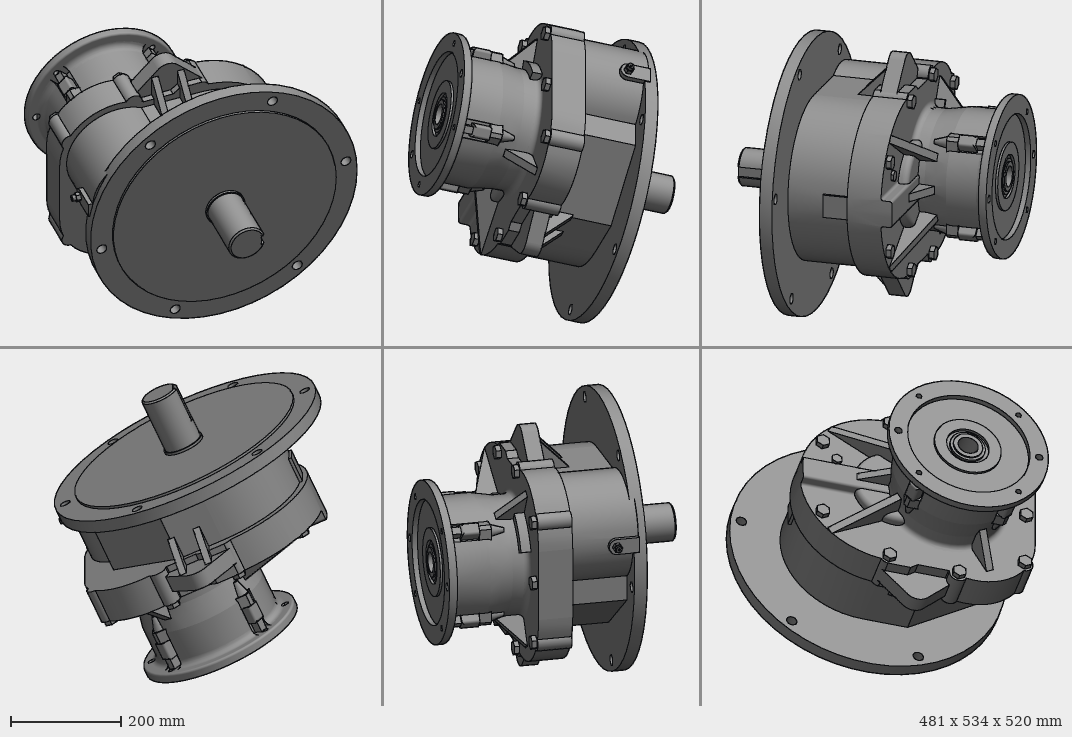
import cadquery as cq
import math


INPUT_FLANGE_BACK = 16.0
PAD_START = 70.5
CONE_START = 86.0
CONE_END = 129.0
COVER_FRONT = 161.5
COVER_BACK = 225.5
FLANGE_FRONT = 342.5
RIM_RECESS_BACK = 352.0
FLANGE_BACK = 366.5
SPIGOT_BACK = 371.0
COLLAR_BACK = 376.0
SHAFT_END = 481.0

FLANGE_RADIUS = 520.0 / 2
SPIGOT_RADIUS = 435.0 / 2
FLANGE_HOLE_DIAMETER = 19.0
FLANGE_HOLE_CIRCLE_RADIUS = 240.0
FLANGE_HOLE_START_ANGLE = 53.3
FLANGE_HOLE_COUNT = 6

MAIN_LOBE_Y = 11.0
MAIN_LOBE_RADIUS = 154.5
SIDE_LOBE_Y = -150.5
SIDE_LOBE_Z = 65.5
SIDE_LOBE_RADIUS = 100.0
SIDE_WALL_Y = -206.0
SIDE_WALL_BOTTOM = -64.0
BOTTOM_EDGE_Y = -75.0
WALL_PAD_Y = 170.0
WALL_PAD_END = 274.5
WALL_PAD_WIDTH = 42.5

COVER_MAIN_Y = 10.0
COVER_MAIN_RADIUS = 170.0
COVER_SIDE_RADIUS = 113.0
BOSS_RADIUS = 16.5
CORNER_BOLTS = [(12.0, 161.0), (-119.0, 170.5), (-243.0, 115.5)]
FACE_BOLT = (138.0, 85.0)
SIDE_BOLT = (-245.0, 0)
BOLT_DIAMETER = 26.0
BOLT_HEIGHT = 9.5
PLUG = (110.5, 51.0)
PLUG_DIAMETER = 20.5
PLUG_HEIGHT = 5.5
SHOULDER_OUTLINE = [(13.5, 0), (13.5, 177.5), (-29.5, 177.5), (-42.5, 167.0), (-107, 167.0), (-149.5, 107), (-149.5, 0)]

EAR_FRONT = 182.0
EAR_BACK = 213.0
EAR_Y = -48.0
EAR_TOP = 232.0
EAR_TIP_RADIUS = 26.0
EAR_RIB_OFFSET = 25.0
EAR_RIB_THICKNESS = 13.0
EAR_RIB_LENGTH = 54.0

INPUT_Y = -93.0
INPUT_FLANGE_RADIUS = 300.0 / 2
BODY_RADIUS = 119.5
BODY_FILLET = 12.5
INPUT_FLANGE_EDGE_FILLET = 4.5
BELL_RADIUS = 111.5
BELL_FOOT_RADIUS = 122.5
INPUT_HOLE_CIRCLE_RADIUS = 132.5
SMALL_HOLE_DIAMETER = 10.0
LARGE_HOLE_DIAMETER = 14.0
INPUT_RECESS_DIAMETER = 230.0
INPUT_RECESS_DEPTH = 10.0
INPUT_BOSS_DIAMETER = 125.5
INPUT_BOSS_HEIGHT = 4.5
SEAL_DIAMETER = 80.0
SEAL_DEPTH = 5.5
HUB_DIAMETER = 66.0
HUB_HEIGHT = 4.5
HUB_TIP_DIAMETER = 55.0
HUB_TIP_HEIGHT = 2.5
BORE_DIAMETER = 38.0
BORE_DEPTH = 80.0
PAD_END = 93.0
PAD_INNER = 65.5
PAD_OUTER = 96.0
PAD_CHAMFER = 6.5
BAR_START = 37.0
BAR_WIDTH = 23.5
BAR_TOP_RADIUS = 132.5
BAR_FILLET = 5.0
NECK_WIDTH = 14.0
NECK_TOP_RADIUS = 129.0
POCKET_WIDTH = 35.0
POCKET_FLOOR_RADIUS = 111.0
TAIL_END = 119.5
TAIL_RADIUS = 13.0
TAIL_TIP_RADIUS = 4.5
RIM_FRONT = 142.5
RIM_RADIUS = 127.0
OUTPUT_BOSS_RADIUS = 81.0
OUTPUT_BOSS_FILLET = 10.5
RIM_ANGLES = (22, 66)

WEB_START = 108.0
WEB_THICKNESS = 15.0
WEB_ROOT_RADIUS = 113.0
SHORT_WEB_REACH = 171.0
LONG_WEB_REACH = 249.5
ARM_FRONT = 140.0
ARM_HALF_WIDTH = 20.0
ARM_BASE_HALF_WIDTH = 30.0
ARM_WEB_REACH = 171.0

FITTING_X = 310.0
FITTING_Z = 60.0
FITTING_LUG_RADIUS = 14.5
FITTING_LUG_Y = -258.5
FITTING_HEX_DIAMETER = 17.0
FITTING_HEX_Y = -267.0
FITTING_TIP_DIAMETER = 11.0
FITTING_TIP_Y = -274.0
FITTING_HOLE_DIAMETER = 4.0
FITTING_HOLE_DEPTH = 5.5
RIM_RECESS_TOP = 133.5

SHAFT_DIAMETER = 70.0
COLLAR_DIAMETER = 75.0
SHAFT_CHAMFER = 3.0
KEYWAY_START = 411.0
KEYWAY_WIDTH = 20.0
KEYWAY_DEPTH = 7.5


def plane_at(x):
    """Sketch plane across the axes at x: local coordinates are (y, z), extrusion goes toward +X."""
    return cq.Workplane("YZ", origin=(x, 0, 0))


def cylinder(x_start, x_end, radius, y=0.0, z=0.0):
    return plane_at(x_start).center(y, z).circle(radius).extrude(x_end - x_start)


def polygon_slab(x_start, x_end, points):
    return plane_at(x_start).polyline(points).close().extrude(x_end - x_start)


def block(x_range, y_range, z_range):
    size = [high - low for low, high in (x_range, y_range, z_range)]
    corner = (x_range[0], y_range[0], z_range[0])
    return cq.Workplane("XY").box(*size, centered=False).translate(corner)


def mirrored_pair(shape):
    """The shape together with its mirror image below the plane z = 0."""
    return shape.union(shape.mirror("XY"))


def polar(radius, angle):
    """Point (y, z) at an angle measured from -Y toward +Z."""
    return (-radius * math.cos(math.radians(angle)), radius * math.sin(math.radians(angle)))


def make_output_flange():
    flange = cylinder(FLANGE_FRONT, FLANGE_BACK, FLANGE_RADIUS)
    rim_recess = block(
        (FLANGE_FRONT, RIM_RECESS_BACK),
        (-FLANGE_RADIUS, SIDE_LOBE_Y),
        (FITTING_Z - FITTING_LUG_RADIUS, RIM_RECESS_TOP),
    )
    rim_recess = rim_recess.cut(
        cylinder(FLANGE_FRONT, RIM_RECESS_BACK, SIDE_LOBE_RADIUS, SIDE_LOBE_Y, SIDE_LOBE_Z)
    )
    flange = flange.cut(rim_recess).union(cylinder(FLANGE_FRONT, SPIGOT_BACK, SPIGOT_RADIUS))
    step = 360 / FLANGE_HOLE_COUNT
    holes = [
        polar(FLANGE_HOLE_CIRCLE_RADIUS, FLANGE_HOLE_START_ANGLE + step * index)
        for index in range(FLANGE_HOLE_COUNT)
    ]
    drills = plane_at(FLANGE_FRONT).pushPoints(holes).circle(FLANGE_HOLE_DIAMETER / 2)
    return flange.cut(drills.extrude(FLANGE_BACK - FLANGE_FRONT))


def make_wall():
    """Main lobe with a flat top, a raised side lobe and a sloping face below it."""
    wall = cylinder(COVER_BACK, FLANGE_FRONT, MAIN_LOBE_RADIUS, MAIN_LOBE_Y)
    filling = [
        (MAIN_LOBE_Y, MAIN_LOBE_RADIUS),
        (SIDE_LOBE_Y, MAIN_LOBE_RADIUS),
        (SIDE_WALL_Y, SIDE_LOBE_Z),
        (SIDE_WALL_Y, SIDE_WALL_BOTTOM),
        (BOTTOM_EDGE_Y, -MAIN_LOBE_RADIUS),
        (MAIN_LOBE_Y, -MAIN_LOBE_RADIUS),
    ]
    wall = wall.union(polygon_slab(COVER_BACK, FLANGE_FRONT, filling))
    side_lobe = cylinder(COVER_BACK, RIM_RECESS_BACK, SIDE_LOBE_RADIUS, SIDE_LOBE_Y, SIDE_LOBE_Z)
    pad = block(
        (COVER_BACK, WALL_PAD_END),
        (MAIN_LOBE_Y, WALL_PAD_Y),
        (-WALL_PAD_WIDTH / 2, WALL_PAD_WIDTH / 2),
    )
    return wall.union(side_lobe).union(pad)


def make_cover_outline(x_start, x_end):
    half = cylinder(x_start, x_end, COVER_SIDE_RADIUS, SIDE_LOBE_Y, SIDE_LOBE_Z)
    half = half.union(polygon_slab(x_start, x_end, SHOULDER_OUTLINE))
    for y, z in CORNER_BOLTS:
        half = half.union(cylinder(x_start, x_end, BOSS_RADIUS, y, z))
    middle = block(
        (x_start, x_end),
        (SIDE_LOBE_Y - COVER_SIDE_RADIUS, COVER_MAIN_Y),
        (-SIDE_LOBE_Z, SIDE_LOBE_Z),
    )
    main = cylinder(x_start, x_end, COVER_MAIN_RADIUS, COVER_MAIN_Y)
    return main.union(middle).union(mirrored_pair(half))


def hex_head(position, diameter, height):
    y, z = position
    head = plane_at(COVER_FRONT - height).center(y, z)
    return head.transformed(rotate=(0, 0, 90)).polygon(6, diameter).extrude(height)


def make_cover():
    cover = make_cover_outline(COVER_FRONT, COVER_BACK)
    bolts = hex_head(FACE_BOLT, BOLT_DIAMETER, BOLT_HEIGHT)
    for position in CORNER_BOLTS:
        bolts = bolts.union(hex_head(position, BOLT_DIAMETER, BOLT_HEIGHT))
    cover = cover.union(mirrored_pair(bolts))
    boss = cylinder(RIM_FRONT, COVER_FRONT, OUTPUT_BOSS_RADIUS)
    cover = cover.union(boss.faces("<X").edges().fillet(OUTPUT_BOSS_FILLET))
    cover = cover.union(hex_head(SIDE_BOLT, BOLT_DIAMETER, BOLT_HEIGHT))
    return cover.union(hex_head(PLUG, PLUG_DIAMETER, PLUG_HEIGHT))


def make_ears():
    """Two ears with 45 degree flanks and a round tip, each stiffened by two triangular ribs."""
    tip_z = EAR_TOP - EAR_TIP_RADIUS
    tangent = EAR_TIP_RADIUS * math.sqrt(0.5)
    foot_z = SIDE_LOBE_Z
    foot_half_width = tangent + tip_z + tangent - MAIN_LOBE_RADIUS
    ear = (
        plane_at(EAR_FRONT)
        .moveTo(EAR_Y - tangent, tip_z + tangent)
        .threePointArc((EAR_Y, EAR_TOP), (EAR_Y + tangent, tip_z + tangent))
        .lineTo(EAR_Y + foot_half_width, MAIN_LOBE_RADIUS)
        .lineTo(EAR_Y + foot_half_width, foot_z)
        .lineTo(EAR_Y - foot_half_width, foot_z)
        .lineTo(EAR_Y - foot_half_width, MAIN_LOBE_RADIUS)
        .close()
        .extrude(EAR_BACK - EAR_FRONT)
    )
    rib_outline = [
        (EAR_BACK, foot_z),
        (EAR_BACK, MAIN_LOBE_RADIUS + EAR_RIB_LENGTH),
        (EAR_BACK + EAR_RIB_LENGTH, MAIN_LOBE_RADIUS),
        (EAR_BACK + EAR_RIB_LENGTH, foot_z),
    ]
    rib = cq.Workplane("XZ").polyline(rib_outline).close().extrude(EAR_RIB_THICKNESS / 2, both=True)
    for side in (-1, 1):
        ear = ear.union(rib.translate((0, EAR_Y + side * EAR_RIB_OFFSET, 0)))
    return mirrored_pair(ear)


def make_bell_body():
    """Turned body of the bell, from the input flange to the cover, about the input axis."""
    edge = INPUT_FLANGE_EDGE_FILLET
    foot = BELL_FOOT_RADIUS - BELL_RADIUS
    body_start = INPUT_FLANGE_BACK + BODY_FILLET
    diagonal = math.sqrt(0.5)
    flange_arc_middle = (
        body_start - BODY_FILLET * diagonal,
        BODY_RADIUS + BODY_FILLET * (1 - diagonal),
    )
    edge_drop = edge * (1 - diagonal)
    edge_arc_middle = (INPUT_FLANGE_BACK - edge_drop, INPUT_FLANGE_RADIUS - edge_drop)
    foot_arc_middle = (
        COVER_FRONT - foot * (1 - diagonal),
        BELL_RADIUS + foot * (1 - diagonal),
    )
    profile = (
        cq.Workplane("XY")
        .moveTo(0, 0)
        .lineTo(0, INPUT_FLANGE_RADIUS)
        .lineTo(INPUT_FLANGE_BACK - edge, INPUT_FLANGE_RADIUS)
        .threePointArc(edge_arc_middle, (INPUT_FLANGE_BACK, INPUT_FLANGE_RADIUS - edge))
        .lineTo(INPUT_FLANGE_BACK, BODY_RADIUS + BODY_FILLET)
        .threePointArc(flange_arc_middle, (body_start, BODY_RADIUS))
        .lineTo(CONE_START, BODY_RADIUS)
        .lineTo(CONE_END, BELL_RADIUS)
        .lineTo(COVER_FRONT - foot, BELL_RADIUS)
        .threePointArc(foot_arc_middle, (COVER_FRONT, BELL_FOOT_RADIUS))
        .lineTo(COVER_FRONT, 0)
        .close()
    )
    return profile.revolve(360, (0, 0, 0), (1, 0, 0))


def make_screw_pocket():
    """Pocket behind the input flange at the top of the bell, open outward."""
    return block(
        (INPUT_FLANGE_BACK, PAD_START),
        (-POCKET_WIDTH / 2, POCKET_WIDTH / 2),
        (POCKET_FLOOR_RADIUS, INPUT_FLANGE_RADIUS),
    )


def make_screw_bar():
    """Bar with rounded edges that stands in the screw pocket, joined to the flange by a narrow neck."""
    bar = block(
        (BAR_START, PAD_START),
        (-BAR_WIDTH / 2, BAR_WIDTH / 2),
        (POCKET_FLOOR_RADIUS, BAR_TOP_RADIUS),
    )
    bar = bar.edges(">Z and (not >X)").fillet(BAR_FILLET)
    neck = block(
        (INPUT_FLANGE_BACK, PAD_START),
        (-NECK_WIDTH / 2, NECK_WIDTH / 2),
        (POCKET_FLOOR_RADIUS, NECK_TOP_RADIUS),
    )
    return bar.union(neck)


def make_screw_pad():
    """Pad with a bevelled corner and a tapered tail, on the (+Y, +Z) diagonal."""
    pad = block((PAD_START, PAD_END), (PAD_INNER, PAD_OUTER), (PAD_INNER, PAD_OUTER))
    pad = pad.edges(">Y and >Z").chamfer(PAD_CHAMFER)
    pad_middle = (PAD_INNER + PAD_OUTER) / 2
    tail = cq.Solid.makeCone(
        TAIL_RADIUS,
        TAIL_TIP_RADIUS,
        TAIL_END - PAD_END,
        cq.Vector(PAD_END, pad_middle, pad_middle),
        cq.Vector(1, 0, 0),
    )
    return pad.union(tail)


def turned(shape, angle):
    """The shape turned about the input axis, before the bell is moved into place."""
    return shape.rotate((0, 0, 0), (1, 0, 0), angle)


def make_web(angle, reach, end_x):
    """Triangular web from the bell surface out to a radius of reach, at end_x."""
    outline = [
        (WEB_START, BODY_RADIUS / 2),
        (WEB_START, WEB_ROOT_RADIUS),
        (end_x, reach),
        (end_x, BODY_RADIUS / 2),
    ]
    web = cq.Workplane("XZ").polyline(outline).close().extrude(WEB_THICKNESS / 2, both=True)
    return turned(web, 90 - angle)


def make_rim_sector():
    """Raised step on the bell foot beside the upper side web."""
    start, end = RIM_ANGLES
    middle = (start + end) / 2
    return (
        plane_at(RIM_FRONT)
        .moveTo(0, 0)
        .lineTo(*polar(RIM_RADIUS, start))
        .threePointArc(polar(RIM_RADIUS, middle), polar(RIM_RADIUS, end))
        .close()
        .extrude(COVER_FRONT - RIM_FRONT)
    )


def make_arm():
    """Radial arm from the bell to the cover edge, with rounded edges and a filleted base."""
    radius = (ARM_BASE_HALF_WIDTH - ARM_HALF_WIDTH) / 2
    side = ARM_HALF_WIDTH + radius
    near = radius * (1 - math.sqrt(0.5))
    arm = (
        cq.Workplane("XZ")
        .moveTo(COVER_FRONT, 0)
        .lineTo(COVER_FRONT, ARM_BASE_HALF_WIDTH)
        .threePointArc((COVER_FRONT - near, side + near), (COVER_FRONT - radius, side))
        .lineTo(ARM_FRONT + radius, side)
        .threePointArc((ARM_FRONT + near, side - near), (ARM_FRONT, ARM_HALF_WIDTH))
        .lineTo(ARM_FRONT, 0)
        .close()
        .extrude(-(COVER_MAIN_Y + COVER_MAIN_RADIUS))
    )
    within_cover = cylinder(ARM_FRONT, COVER_FRONT, COVER_MAIN_RADIUS, COVER_MAIN_Y)
    return mirrored_pair(arm).intersect(within_cover)


def cut_input_face(bell):
    """Spigot recess, seal seat, hollow hub and the screw holes of the input flange."""
    bell = bell.cut(cylinder(0, INPUT_RECESS_DEPTH, INPUT_RECESS_DIAMETER / 2))
    boss_front = INPUT_RECESS_DEPTH - INPUT_BOSS_HEIGHT
    bell = bell.union(cylinder(boss_front, INPUT_RECESS_DEPTH, INPUT_BOSS_DIAMETER / 2))
    seal_floor = boss_front + SEAL_DEPTH
    bell = bell.cut(cylinder(boss_front, seal_floor, SEAL_DIAMETER / 2))
    hub_front = seal_floor - HUB_HEIGHT
    bell = bell.union(cylinder(hub_front, seal_floor, HUB_DIAMETER / 2))
    tip_front = hub_front - HUB_TIP_HEIGHT
    bell = bell.union(cylinder(tip_front, hub_front, HUB_TIP_DIAMETER / 2))
    bell = bell.cut(cylinder(tip_front, tip_front + BORE_DEPTH, BORE_DIAMETER / 2))
    for diameter, angles in (
        (SMALL_HOLE_DIAMETER, (45, 135, 225, 315)),
        (LARGE_HOLE_DIAMETER, (0, 180)),
    ):
        holes = [polar(INPUT_HOLE_CIRCLE_RADIUS, angle) for angle in angles]
        drills = plane_at(0).pushPoints(holes).circle(diameter / 2)
        bell = bell.cut(drills.extrude(INPUT_FLANGE_BACK))
    return bell


def make_bell():
    bell = make_bell_body()
    for index in range(4):
        bell = bell.cut(turned(make_screw_pocket(), 90 * index + 45))
        bell = bell.union(turned(make_screw_bar(), 90 * index + 45))
        bell = bell.union(turned(make_screw_pad(), 90 * index))
    for angle, reach in ((60, SHORT_WEB_REACH), (150, LONG_WEB_REACH)):
        bell = bell.union(mirrored_pair(make_web(angle, reach, COVER_FRONT)))
    bell = bell.union(make_web(180, ARM_WEB_REACH, ARM_FRONT))
    bell = bell.union(make_rim_sector())
    return cut_input_face(bell).translate((0, INPUT_Y, 0))


def make_fitting():
    """Lug on the side lobe with a stepped oil fitting."""
    side_plane = cq.Workplane("XZ", origin=(FITTING_X, SIDE_WALL_Y, FITTING_Z))
    lug = side_plane.circle(FITTING_LUG_RADIUS).extrude(SIDE_WALL_Y - FITTING_LUG_Y)
    lug = lug.union(block(
        (FITTING_X, RIM_RECESS_BACK),
        (FITTING_LUG_Y, SIDE_WALL_Y),
        (FITTING_Z - FITTING_LUG_RADIUS, FITTING_Z + FITTING_LUG_RADIUS),
    ))
    hexagon = side_plane.polygon(6, FITTING_HEX_DIAMETER).extrude(SIDE_WALL_Y - FITTING_HEX_Y)
    tip = side_plane.circle(FITTING_TIP_DIAMETER / 2).extrude(SIDE_WALL_Y - FITTING_TIP_Y)
    hole = side_plane.workplane(offset=SIDE_WALL_Y - FITTING_TIP_Y)
    hole = hole.circle(FITTING_HOLE_DIAMETER / 2).extrude(-FITTING_HOLE_DEPTH)
    return lug.union(hexagon).union(tip).cut(hole)


def make_shaft():
    """Output shaft with a collar, an end chamfer and an open keyway on its +Y side."""
    shaft = cylinder(FLANGE_FRONT, SHAFT_END, SHAFT_DIAMETER / 2)
    shaft = shaft.faces(">X").chamfer(SHAFT_CHAMFER)
    shaft = shaft.union(cylinder(FLANGE_FRONT, COLLAR_BACK, COLLAR_DIAMETER / 2))
    keyway = block(
        (KEYWAY_START, SHAFT_END),
        (SHAFT_DIAMETER / 2 - KEYWAY_DEPTH, SHAFT_DIAMETER / 2),
        (-KEYWAY_WIDTH / 2, KEYWAY_WIDTH / 2),
    )
    return shaft.cut(keyway)


def make_housing():
    housing = make_output_flange()
    for part in (make_wall(), make_cover(), make_ears(), make_arm(), make_bell(), make_fitting()):
        housing = housing.union(part)
    shaft_seat = cylinder(FLANGE_FRONT, SPIGOT_BACK, COLLAR_DIAMETER / 2)
    return housing.cut(shaft_seat)


housing = make_housing()
shaft = make_shaft()

result = cq.Compound.makeCompound([housing.val(), shaft.val()])